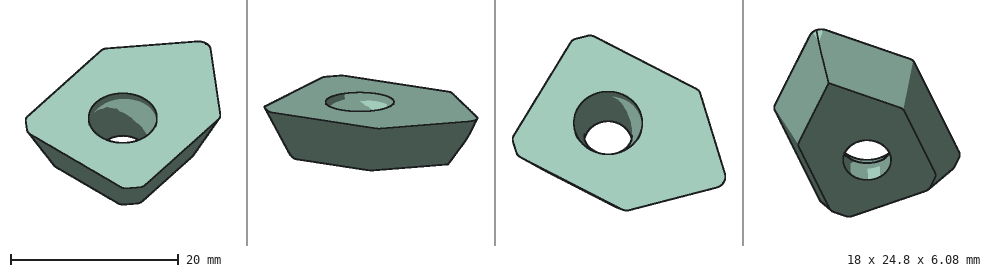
import cadquery as cq
import math

width = 18.02
length = 24.83
thickness = 6.08

half_width = width / 2
back_y = -half_width
tip_y = back_y + length
nose_radius = 1.5
corner_radius = 1.0
back_chamfer = 1.65

relief_angle = 20.0
relief_shift = thickness * math.tan(math.radians(relief_angle))

bore_radius = 5.7 / 2
mouth_radius = 8.16 / 2
mouth_depth = 0.73
mouth_taper = 5.0
throat_radius = mouth_radius - mouth_depth * math.tan(math.radians(mouth_taper))
seat_radius = 4.0
blend_radius = 0.4


def top_outline():
    """Closed wire of the rounded outline, in the plane of the top face."""
    apex_y = tip_y + nose_radius * (math.sqrt(2) - 1)
    shoulder_y = apex_y - half_width
    chamfer_x = half_width - back_chamfer
    chamfer_y = back_y + back_chamfer
    plate = (
        cq.Workplane("XY")
        .polyline([
            (0, apex_y),
            (-half_width, shoulder_y),
            (-half_width, chamfer_y),
            (-chamfer_x, back_y),
            (chamfer_x, back_y),
            (half_width, chamfer_y),
            (half_width, shoulder_y),
        ])
        .close()
        .extrude(-thickness)
        .translate((0, 0, thickness))
    )
    plate = plate.edges("|Z").edges(">Y").fillet(nose_radius)
    nose_edge_count = 2
    side_edges = plate.edges("|Z").sort(lambda edge: -edge.Center().y)
    plate = side_edges[nose_edge_count:].fillet(corner_radius)
    return plate.faces(">Z").wires().val()


def relieved_body():
    """Common volume of four prisms hanging from the top outline, one leaning each diagonal way."""
    outline = top_outline()
    body = None
    for x_sign in (-1, 1):
        for y_sign in (-1, 1):
            lean = cq.Vector(x_sign * relief_shift, y_sign * relief_shift, -thickness)
            prism = cq.Workplane(obj=cq.Solid.extrudeLinear(outline, [], lean))
            body = prism if body is None else body.intersect(prism)
    return body


def screw_hole():
    """Solid of revolution that is removed to form the screw hole."""
    centre_distance = seat_radius + blend_radius
    touch_angle = math.acos(1 - (throat_radius - bore_radius) / centre_distance)
    blend_x = throat_radius - blend_radius
    blend_z = thickness - mouth_depth
    seat_x = bore_radius + seat_radius
    seat_z = blend_z - centre_distance * math.sin(touch_angle)

    def on_blend(angle):
        return (blend_x + blend_radius * math.cos(angle), blend_z - blend_radius * math.sin(angle))

    def on_seat(angle):
        return (seat_x - seat_radius * math.cos(angle), seat_z + seat_radius * math.sin(angle))

    return (
        cq.Workplane("XZ")
        .moveTo(0, 0)
        .lineTo(bore_radius, 0)
        .lineTo(bore_radius, seat_z)
        .threePointArc(on_seat(touch_angle / 2), on_seat(touch_angle))
        .threePointArc(on_blend(touch_angle / 2), on_blend(0))
        .lineTo(mouth_radius, thickness)
        .lineTo(0, thickness)
        .close()
        .revolve(360, (0, 0, 0), (0, 1, 0))
    )


result = relieved_body().cut(screw_hole())